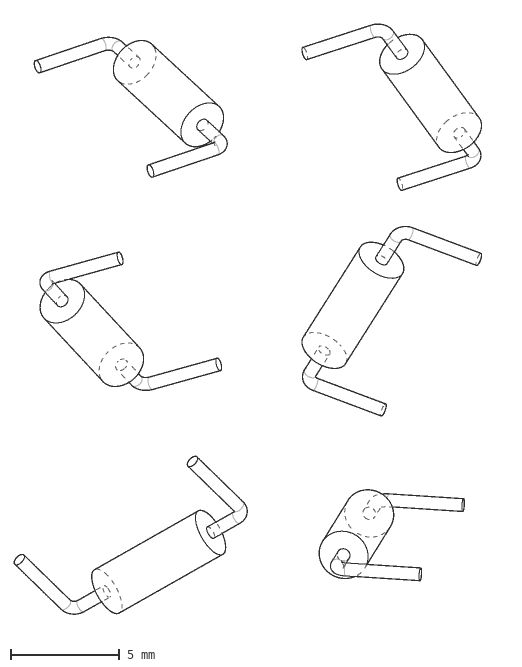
import cadquery as cq

body_diameter = 2.3
body_length = 6.0

lead_diameter = 0.6
lead_pitch = 10.0
lead_reach = 4.0
bend_radius = 0.5


def make_body():
    """Plain cylinder along X."""
    return (
        cq.Workplane("YZ", origin=(-body_length / 2, 0, 0))
        .circle(body_diameter / 2)
        .extrude(body_length)
    )


def make_leads():
    """Both leads as one bent wire running through the body."""
    leg_x = lead_pitch / 2
    bend_x = leg_x - bend_radius
    path = (
        cq.Workplane("XY")
        .moveTo(-leg_x, -lead_reach)
        .lineTo(-leg_x, -bend_radius)
        .tangentArcPoint((-bend_x, 0), relative=False)
        .lineTo(bend_x, 0)
        .tangentArcPoint((leg_x, -bend_radius), relative=False)
        .lineTo(leg_x, -lead_reach)
    )
    return (
        cq.Workplane("XZ", origin=(-leg_x, -lead_reach, 0))
        .circle(lead_diameter / 2)
        .sweep(path)
    )


result = make_body().union(make_leads())